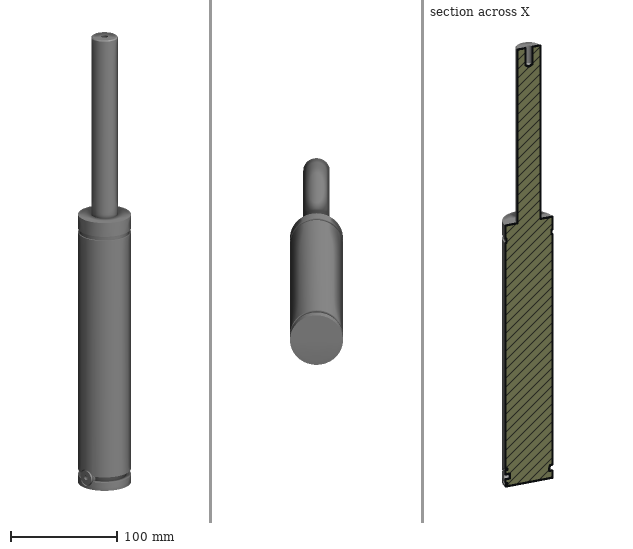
import cadquery as cq

total_height = 445.0
body_height = 267.5
body_diameter = 50.0
rod_diameter = 25.0

rod_chamfer = 1.0
rod_hole_diameter = 6.5
rod_hole_depth = 18.0
rod_hole_tip_depth = 2.0

head_height = 14.0
head_groove_width = 4.0
head_groove_depth = 1.5

base_height = 8.0
base_groove_width = 5.5
base_groove_top_depth = 2.5
base_groove_bottom_depth = 4.0

port_height = 10.2
port_diameter = 16.0
port_recess_depth = 2.2
plug_diameter = 14.0
plug_face_depth = 0.22
plug_hole_diameter = 4.5
plug_hole_depth = 4.5
port_seat_length = 9.0

body_radius = body_diameter / 2


def make_body_and_rod():
    """Revolve the stepped cylinder, including both ring grooves."""
    rod_radius = rod_diameter / 2
    base_groove_top = base_height + base_groove_width
    head_groove_top = body_height - head_height
    head_groove_bottom = head_groove_top - head_groove_width
    head_groove_radius = body_radius - head_groove_depth
    profile = [
        (0, 0),
        (body_radius, 0),
        (body_radius, base_height),
        (body_radius - base_groove_bottom_depth, base_height),
        (body_radius - base_groove_top_depth, base_groove_top),
        (body_radius, base_groove_top),
        (body_radius, head_groove_bottom),
        (head_groove_radius, head_groove_bottom),
        (head_groove_radius, head_groove_top),
        (body_radius, head_groove_top),
        (body_radius, body_height),
        (rod_radius, body_height),
        (rod_radius, total_height - rod_chamfer),
        (rod_radius - rod_chamfer, total_height),
        (0, total_height),
    ]
    return cq.Workplane("XZ").polyline(profile).close().revolve(360, (0, 0), (0, 1))


def port_cylinder(diameter, depth, length):
    """Cylinder running inward along +Y from a given depth below the -Y side."""
    return (
        cq.Workplane("XZ", origin=(0, depth - body_radius, port_height))
        .circle(diameter / 2)
        .extrude(-length)
    )


def add_filling_port(part):
    """Seat the port across the base groove and fit the plug with its hole."""
    seat = port_cylinder(port_diameter, port_recess_depth, port_seat_length)
    recess = port_cylinder(port_diameter, 0, port_recess_depth)
    plug = port_cylinder(plug_diameter, plug_face_depth, port_seat_length)
    plug_hole = port_cylinder(plug_hole_diameter, plug_face_depth, plug_hole_depth)
    return part.cut(recess).union(seat).union(plug).cut(plug_hole)


def cut_rod_hole(part):
    """Drill the blind hole in the rod tip, ending in a drill cone."""
    hole_radius = rod_hole_diameter / 2
    profile = [
        (0, total_height),
        (hole_radius, total_height),
        (hole_radius, total_height - rod_hole_depth),
        (0, total_height - rod_hole_depth - rod_hole_tip_depth),
    ]
    hole = cq.Workplane("XZ").polyline(profile).close().revolve(360, (0, 0), (0, 1))
    return part.cut(hole)


result = cut_rod_hole(add_filling_port(make_body_and_rod()))